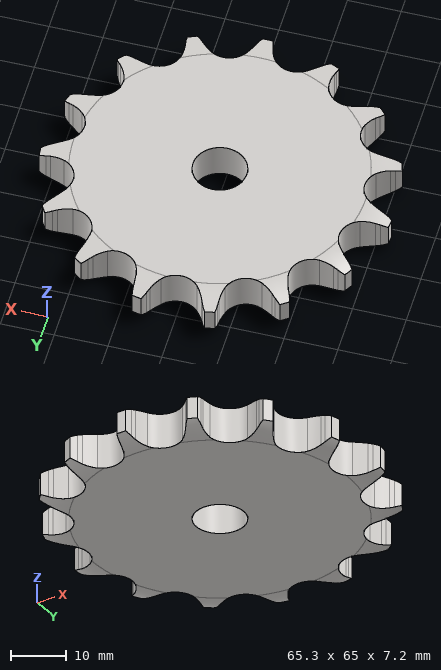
import cadquery as cq
import math

tooth_count = 15
pitch_diameter = 61.05
outer_diameter = 65.5
thickness = 7.2
bore_diameter = 10.0

flat_face_diameter = 54.3
tip_thickness = 4.5

roller_diameter = 8.5
seating_radius = 4.3
seating_angle = math.radians(35 + 60 / tooth_count)
working_angle = math.radians(18 - 56 / tooth_count)
working_center_distance = 0.8 * roller_diameter
topping_center_distance = 1.4 * roller_diameter

pitch_radius = pitch_diameter / 2
outer_radius = outer_diameter / 2
flat_face_radius = flat_face_diameter / 2
tooth_pitch_angle = 360 / tooth_count


def offset(point, distance, angle):
    """Point at a given distance and direction from another point."""
    return (point[0] + distance * math.cos(angle), point[1] + distance * math.sin(angle))


def mirrored(point):
    """Same point on the other side of the gap centre line."""
    return (-point[0], point[1])


def crowned_blank():
    """Revolved disc whose rim faces are arcs tangent to the flat faces."""
    half_thickness = thickness / 2
    half_tip = tip_thickness / 2
    run = outer_radius - flat_face_radius
    drop = half_thickness - half_tip
    crown_radius = (run**2 + drop**2) / (2 * drop)
    crown_sweep = math.asin(run / crown_radius)
    crown_center = (flat_face_radius, half_thickness - crown_radius)
    crown_middle = offset(crown_center, crown_radius, math.pi / 2 - crown_sweep / 2)

    return (
        cq.Workplane("XZ")
        .moveTo(0, -half_thickness)
        .lineTo(flat_face_radius, -half_thickness)
        .threePointArc((crown_middle[0], -crown_middle[1]), (outer_radius, -half_tip))
        .lineTo(outer_radius, half_tip)
        .threePointArc(crown_middle, (flat_face_radius, half_thickness))
        .lineTo(0, half_thickness)
        .close()
        .revolve(360, (0, 0, 0), (0, 1, 0))
    )


def tooth_gap():
    """Prism of one gap, centred on +Y: seating arc, working arcs, short flats and topping arcs."""
    seat_center = (0, pitch_radius)
    flank_angle = seating_angle - working_angle
    working_radius = working_center_distance + seating_radius

    working_center = offset(seat_center, working_center_distance, seating_angle)
    seat_end = offset(working_center, -working_radius, seating_angle)
    working_middle = offset(working_center, -working_radius, seating_angle - working_angle / 2)
    working_end = offset(working_center, -working_radius, flank_angle)

    topping_center = offset(seat_center, -topping_center_distance, math.pi / tooth_count)
    topping_radius = (
        (working_end[0] - topping_center[0]) * math.cos(flank_angle)
        + (working_end[1] - topping_center[1]) * math.sin(flank_angle)
    )
    topping_end_angle = math.asin((outer_radius - topping_center[1]) / topping_radius)
    topping_start = offset(topping_center, topping_radius, flank_angle)
    topping_middle = offset(topping_center, topping_radius, (flank_angle + topping_end_angle) / 2)
    topping_end = offset(topping_center, topping_radius, topping_end_angle)

    return (
        cq.Workplane("XY", origin=(0, 0, -thickness / 2))
        .moveTo(*topping_end)
        .threePointArc(topping_middle, topping_start)
        .lineTo(*working_end)
        .threePointArc(working_middle, seat_end)
        .threePointArc((0, pitch_radius - seating_radius), mirrored(seat_end))
        .threePointArc(mirrored(working_middle), mirrored(working_end))
        .lineTo(*mirrored(topping_start))
        .threePointArc(mirrored(topping_middle), mirrored(topping_end))
        .close()
        .extrude(thickness)
    )


result = crowned_blank().faces(">Z").workplane(origin=(0, 0, 0)).hole(bore_diameter)
gap = tooth_gap()
for index in range(tooth_count):
    result = result.cut(gap.rotate((0, 0, 0), (0, 0, 1), index * tooth_pitch_angle))